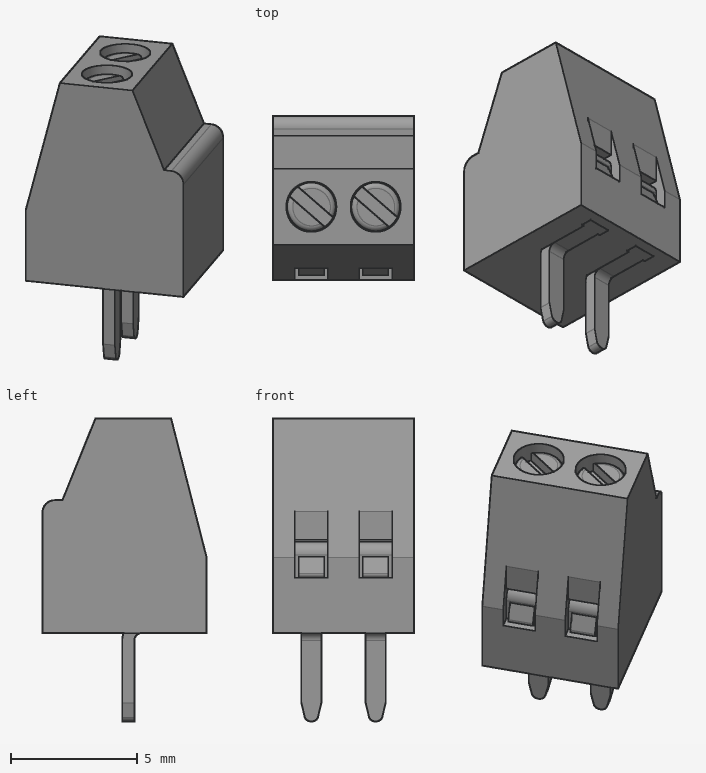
import cadquery as cq


pitch = 2.55
pole_centres = [-pitch / 2, pitch / 2]

housing_width = 5.58
housing_depth = 6.5
housing_height = 8.5
front_wall_height = 3.0
top_front_y = 1.4
front_slope = (housing_height - front_wall_height) / top_front_y
top_back_y = 4.4
ledge_start_y = 5.71
ledge_height = 5.27
ledge_radius = 0.5

opening_width = 1.31
opening_bottom = 2.2
opening_depth = 0.47
opening_top = front_wall_height + front_slope * opening_depth
groove_bottom = 3.11
groove_top = 3.7
groove_radius = 0.5

screw_y = 2.9
screw_radius = 0.96
screw_height = 1.01
screw_edge_radius = 0.22
screw_recess = 0.3
hole_radius = 1.0
slot_width = 0.5
slot_depth = 0.48
slot_angle = -41.0
screw_top = housing_height - screw_recess
screw_bottom = screw_top - screw_height

sheet_thickness = 0.49
bend_radius = 0.29
leg_width = 0.8
leg_front_y = 2.85
leg_length = 3.5
leg_taper_start = 2.75
leg_tip_start = 3.34
leg_tip_half_width = 0.26
tongue_width = 1.01
tongue_top = 3.02
tongue_corner_y = 0.15
tongue_tip_radius = 0.13
leg_back_y = leg_front_y + sheet_thickness


def extrude_across(profile, width, centre_x):
    """Extrude a YZ profile symmetrically about the plane X = centre_x."""
    return profile.extrude(width / 2, both=True).translate((centre_x, 0, 0))


def make_housing_block():
    profile = (
        cq.Workplane("YZ")
        .lineTo(0, front_wall_height)
        .lineTo(top_front_y, housing_height)
        .lineTo(top_back_y, housing_height)
        .lineTo(ledge_start_y, ledge_height)
        .lineTo(housing_depth - ledge_radius, ledge_height)
        .radiusArc((housing_depth, ledge_height - ledge_radius), ledge_radius)
        .lineTo(housing_depth, 0)
        .close()
    )
    return extrude_across(profile, housing_width, 0)


def make_wire_opening(centre_x):
    groove_back_y = opening_depth + groove_radius
    profile = (
        cq.Workplane("YZ")
        .moveTo(0, opening_bottom)
        .lineTo(opening_depth, opening_bottom)
        .lineTo(opening_depth, groove_bottom)
        .radiusArc((groove_back_y, groove_bottom + groove_radius), groove_radius)
        .lineTo(groove_back_y, groove_top)
        .lineTo(opening_depth, groove_top)
        .lineTo(opening_depth, opening_top)
        .lineTo(0, opening_top)
        .close()
    )
    return extrude_across(profile, opening_width, centre_x)


def make_screw_hole(centre_x):
    return (
        cq.Workplane("XY", origin=(centre_x, screw_y, screw_bottom))
        .circle(hole_radius)
        .extrude(housing_height - screw_bottom)
    )


def make_screw(centre_x):
    head = (
        cq.Workplane("XY", origin=(centre_x, screw_y, screw_bottom))
        .circle(screw_radius)
        .extrude(screw_height)
        .faces(">Z")
        .edges()
        .fillet(screw_edge_radius)
    )
    slot = (
        cq.Workplane("XY", origin=(centre_x, screw_y, screw_top - slot_depth))
        .transformed(rotate=(0, 0, slot_angle))
        .rect(2 * hole_radius, slot_width)
        .extrude(slot_depth)
    )
    return head.cut(slot)


def make_leg(centre_x):
    """Vertical leg below the bend, with tapered sides and a rounded tip."""
    half_width = leg_width / 2
    return (
        cq.Workplane("XZ", origin=(centre_x, leg_back_y, 0))
        .moveTo(half_width, -bend_radius)
        .lineTo(half_width, -leg_taper_start)
        .lineTo(leg_tip_half_width, -leg_tip_start)
        .threePointArc((0, -leg_length), (-leg_tip_half_width, -leg_tip_start))
        .lineTo(-half_width, -leg_taper_start)
        .lineTo(-half_width, -bend_radius)
        .close()
        .extrude(sheet_thickness)
    )


def make_foot(centre_x):
    """Bend at the top of the leg and the foot that runs forward from it."""
    bend_y = leg_front_y - bend_radius
    profile = (
        cq.Workplane("YZ")
        .moveTo(leg_front_y, -bend_radius)
        .radiusArc((bend_y, 0), -bend_radius)
        .lineTo(opening_depth, 0)
        .lineTo(opening_depth, sheet_thickness)
        .lineTo(bend_y, sheet_thickness)
        .radiusArc((leg_back_y, -bend_radius), bend_radius + sheet_thickness)
        .close()
    )
    return extrude_across(profile, leg_width, centre_x)


def make_tongue(centre_x):
    """Riser behind the opening and the sloping tongue in front of it."""
    riser_back_y = opening_depth + sheet_thickness
    riser = (
        cq.Workplane("YZ")
        .moveTo(opening_depth, 0)
        .lineTo(riser_back_y, 0)
        .lineTo(riser_back_y, tongue_top)
        .lineTo(opening_depth, tongue_top)
        .close()
    )
    wedge = (
        cq.Workplane("YZ")
        .moveTo(tongue_corner_y, opening_bottom)
        .lineTo(opening_depth, opening_bottom)
        .lineTo(opening_depth, tongue_top)
        .close()
    )
    wedge_solid = extrude_across(wedge, tongue_width, centre_x)
    rounded_wedge = wedge_solid.edges("|X and <Y").fillet(tongue_tip_radius)
    return extrude_across(riser, tongue_width, centre_x).union(rounded_wedge)


def make_terminal(centre_x):
    return make_leg(centre_x).union(make_foot(centre_x)).union(make_tongue(centre_x))


screws = [make_screw(x) for x in pole_centres]
terminals = [make_terminal(x) for x in pole_centres]

housing = make_housing_block()
for x, terminal in zip(pole_centres, terminals):
    housing = housing.cut(make_wire_opening(x))
    housing = housing.cut(make_screw_hole(x))
    housing = housing.cut(terminal)

bodies = [housing, *screws, *terminals]
result = cq.Compound.makeCompound([body.solids().val() for body in bodies])